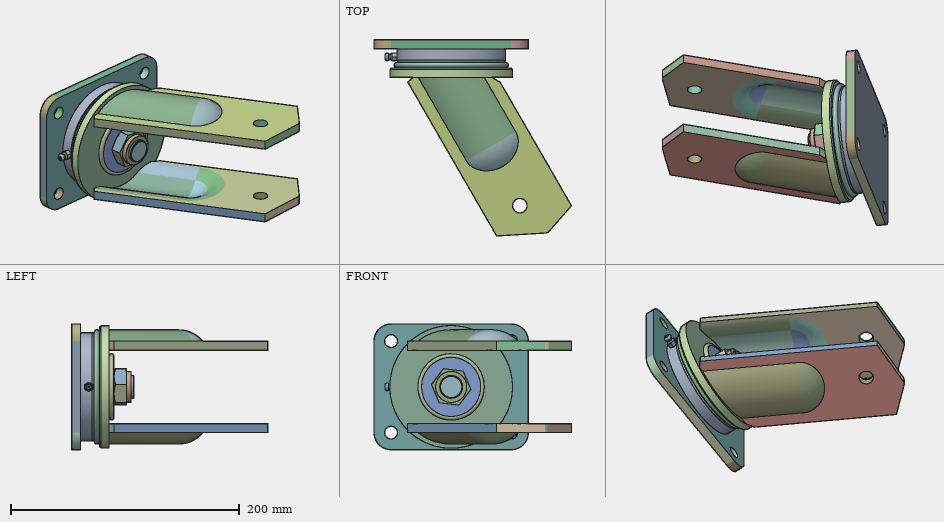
import cadquery as cq
import math


PLATE_LENGTH = 135
PLATE_HEIGHT = 110
PLATE_DEPTH = 8
PLATE_CORNER = 15
BOLT_SPACING_X = 105
BOLT_SPACING_Z = 80
BOLT_HOLE_DIA = 11
HUB_DIA = 95
HUB_DEPTH = 19.8
HUB_CHAMFER_LENGTH = 2
HUB_CHAMFER_WIDTH = 0.7

SEAL_OUTER_DIA = 100
SEAL_INNER_DIA = 85
SEAL_DEPTH = 24.6
DISC_DIA = 107.2
DISC_DEPTH = 32.816
DISC_CHAMFER = 1.2

RIM_DIA = 58
RIM_DEPTH = 37
WEB_DEPTH = 36.7
NUT_FLATS = 30
NUT_HEIGHT = 11.2
NUT_TURN = -7
NUT_CHAMFER_WIDTH = 3.3
NUT_CHAMFER_HEIGHT = 1.7
NUT_COLLAR_DIA = 27.2
NUT_COLLAR_HEIGHT = 4.2
BOLT_DIA = 20
BOLT_TIP_DEPTH = 54.7
BOLT_CHAMFER = 0.7

LEG_ANGLE = 60
LEG_INNER_Z = 32
LEG_THICKNESS = 8
LEG_WIDTH = 70
LEG_LEFT_LENGTH = 140
LEG_RIGHT_LENGTH = 149.8
LEG_PEAK_LENGTH = 160
LEG_PEAK_ACROSS = 5
LEG_PEAK_RADIUS = 5
LEG_LEFT_SHOULDER = -15.3
LEG_RIGHT_SHOULDER = 25.2
LEG_TOP_LEFT_X = -33.4
LEG_TOP_RIGHT_X = 35.6
AXLE_HOLE_DIA = 12.5
AXLE_X = 60
AXLE_Y = -145

BULGE_HEIGHT = 10
BULGE_WIDTH = 50
BULGE_LENGTH = 70
BULGE_END_RADIUS = 25
RECESS_LENGTH = 62.5
RECESS_END_RADIUS = 25
RECESS_EDGE_RADIUS = 25

NIPPLE_DEPTH = 15
NIPPLE_FLATS = 7
NIPPLE_HEX_LENGTH = 4.4
NIPPLE_TIP_X = -58
NIPPLE_TIP_DIA = 4.2
NIPPLE_HEAD_DIA = 6.9
NIPPLE_HEAD_LENGTH = 2.6
NIPPLE_HEAD_ROUNDING = 0.6
NIPPLE_NECK_DIA = 4.4
NIPPLE_TAPER = 0.8
NIPPLE_BORE_DIA = 1.4
NIPPLE_BORE_DEPTH = 2
NIPPLE_OVERRUN = 3

LEG_OUTER_Z = LEG_INNER_Z + LEG_THICKNESS
LEG_OVERRUN = BULGE_LENGTH
BULGE_TOP_Z = LEG_OUTER_Z + BULGE_HEIGHT
BULGE_RADIUS = ((BULGE_WIDTH / 2) ** 2 + BULGE_HEIGHT**2) / (2 * BULGE_HEIGHT)


def at_depth(depth):
    """Workplane across the swivel axis that extrudes along -Y; its local X and Y are X and Z."""
    return cq.Workplane("XZ", origin=(0, -depth, 0))


def turned(profile):
    """Solid turned about the swivel axis from (radius, depth) points."""
    outline = [(radius, -depth) for radius, depth in profile]
    return cq.Workplane("XY").polyline(outline).close().revolve(360, (0, 0), (0, 1))


def make_mounting_plate():
    plate = (
        at_depth(0)
        .rect(PLATE_LENGTH, PLATE_HEIGHT)
        .extrude(PLATE_DEPTH)
        .edges("|Y")
        .fillet(PLATE_CORNER)
    )
    holes = (
        at_depth(0)
        .rect(BOLT_SPACING_X, BOLT_SPACING_Z, forConstruction=True)
        .vertices()
        .circle(BOLT_HOLE_DIA / 2)
        .extrude(PLATE_DEPTH)
    )
    hub_radius = HUB_DIA / 2
    spigot_radius = SEAL_INNER_DIA / 2
    hub = turned([
        (0, 0),
        (spigot_radius, 0),
        (spigot_radius, PLATE_DEPTH),
        (hub_radius, PLATE_DEPTH),
        (hub_radius, HUB_DEPTH - HUB_CHAMFER_LENGTH),
        (hub_radius - HUB_CHAMFER_WIDTH, HUB_DEPTH),
        (spigot_radius, HUB_DEPTH),
        (spigot_radius, SEAL_DEPTH),
        (0, SEAL_DEPTH),
    ])
    return plate.cut(holes).union(hub).cut(make_king_bolt())


def make_seal():
    """Ring around the hub spigot with a fully rounded outer edge."""
    round_radius = (SEAL_DEPTH - HUB_DEPTH) / 2
    outer = SEAL_OUTER_DIA / 2
    inner = SEAL_INNER_DIA / 2
    return (
        cq.Workplane("XY")
        .moveTo(inner, -HUB_DEPTH)
        .lineTo(outer - round_radius, -HUB_DEPTH)
        .tangentArcPoint((outer, -HUB_DEPTH - round_radius), relative=False)
        .tangentArcPoint((outer - round_radius, -SEAL_DEPTH), relative=False)
        .lineTo(inner, -SEAL_DEPTH)
        .close()
        .revolve(360, (0, 0), (0, 1))
    )


def make_domed_bar(radius, end_radius, length, top_z):
    """Round-backed bar along X, curving down at its end about an axis across the leg."""
    axis_z = top_z - end_radius
    centre_z = top_z - radius
    half_width = math.sqrt(radius**2 - (axis_z - centre_z) ** 2)
    section = (
        cq.Workplane("YZ", origin=(length, 0, 0))
        .moveTo(-half_width, axis_z)
        .threePointArc((0, top_z), (half_width, axis_z))
        .close()
    )
    bar = section.extrude(-length - LEG_OVERRUN)
    end = section.toPending().revolve(360, (-half_width, axis_z), (half_width, axis_z))
    return bar.union(end)


def make_leg_strip():
    """Straight strip along X with the hollow bulge pressed out of it, before trimming."""
    strip_length = LEG_OVERRUN + LEG_PEAK_LENGTH
    strip = (
        cq.Workplane("XY", origin=(-LEG_OVERRUN, -LEG_WIDTH / 2, LEG_INNER_Z))
        .box(strip_length, LEG_WIDTH, LEG_THICKNESS, centered=False)
    )
    above_inner_face = (
        cq.Workplane("XY", origin=(-LEG_OVERRUN, -LEG_WIDTH / 2, LEG_INNER_Z))
        .box(strip_length, LEG_WIDTH, LEG_THICKNESS + BULGE_HEIGHT, centered=False)
    )
    full_bulge = make_domed_bar(BULGE_RADIUS, BULGE_END_RADIUS, BULGE_LENGTH, BULGE_TOP_Z)
    bulge = full_bulge.intersect(above_inner_face)
    recess = make_domed_bar(
        BULGE_RADIUS - LEG_THICKNESS,
        RECESS_END_RADIUS,
        RECESS_LENGTH,
        BULGE_TOP_Z - LEG_THICKNESS,
    )
    margin = 1
    inside_strip = cq.selectors.BoxSelector(
        (-LEG_OVERRUN - margin, -LEG_WIDTH / 2 + margin, LEG_INNER_Z - margin),
        (LEG_PEAK_LENGTH - margin, LEG_WIDTH / 2 - margin, LEG_INNER_Z + margin),
        boundingbox=True,
    )
    pressed = strip.union(bulge).cut(recess)
    return pressed.faces("<Z").edges(inside_strip).fillet(RECESS_EDGE_RADIUS)


def place_on_leg(along, across):
    """X and Y of a point given along and across a leg."""
    angle = math.radians(LEG_ANGLE)
    x = along * math.cos(angle) + across * math.sin(angle)
    y = -DISC_DEPTH - along * math.sin(angle) + across * math.cos(angle)
    return x, y


def make_upper_leg():
    half_width = LEG_WIDTH / 2
    peak = place_on_leg(LEG_PEAK_LENGTH, LEG_PEAK_ACROSS)
    outline = [
        (LEG_TOP_LEFT_X, -DISC_DEPTH),
        place_on_leg(LEG_LEFT_SHOULDER, -half_width),
        place_on_leg(LEG_LEFT_LENGTH, -half_width),
        peak,
        place_on_leg(LEG_RIGHT_LENGTH, half_width),
        place_on_leg(LEG_RIGHT_SHOULDER, half_width),
        (LEG_TOP_RIGHT_X, -DISC_DEPTH),
    ]
    trim = (
        cq.Workplane("XY")
        .polyline(outline)
        .close()
        .extrude(BULGE_TOP_Z)
        .edges(cq.selectors.NearestToPointSelector((*peak, BULGE_TOP_Z / 2)))
        .fillet(LEG_PEAK_RADIUS)
    )
    axle_hole = cq.Workplane("XY").center(AXLE_X, AXLE_Y).circle(AXLE_HOLE_DIA / 2).extrude(BULGE_TOP_Z)
    return (
        make_leg_strip()
        .rotate((0, 0, 0), (0, 0, 1), -LEG_ANGLE)
        .translate((0, -DISC_DEPTH, 0))
        .intersect(trim)
        .cut(axle_hole)
    )


def make_fork():
    disc = (
        at_depth(SEAL_DEPTH)
        .circle(DISC_DIA / 2)
        .extrude(DISC_DEPTH - SEAL_DEPTH)
        .faces(">Y")
        .chamfer(DISC_CHAMFER)
    )
    upper_leg = make_upper_leg()
    return disc.union(upper_leg).union(upper_leg.mirror("XY")).cut(make_king_bolt())


def make_rimmed_washer():
    """Washer whose outer rim is a round bead standing slightly above its flat web."""
    bead_radius = (RIM_DEPTH - DISC_DEPTH) / 2
    bead_centre = RIM_DIA / 2 - bead_radius
    web = at_depth(DISC_DEPTH).circle(bead_centre).extrude(WEB_DEPTH - DISC_DEPTH)
    bead = (
        cq.Workplane("XY")
        .center(bead_centre, -DISC_DEPTH - bead_radius)
        .circle(bead_radius)
        .revolve(360, (-bead_centre, 0), (-bead_centre, 1))
    )
    return web.union(bead).cut(make_king_bolt())


def make_nut():
    """Hexagon nut with a chamfered seat and a round locking collar."""
    corner_dia = NUT_FLATS / math.cos(math.pi / 6)
    corner_radius = corner_dia / 2
    hexagon = (
        at_depth(WEB_DEPTH)
        .polygon(6, corner_dia)
        .extrude(NUT_HEIGHT)
        .rotate((0, 0, 0), (0, 1, 0), -NUT_TURN)
    )
    seat_cone = turned([
        (0, WEB_DEPTH),
        (corner_radius - NUT_CHAMFER_WIDTH, WEB_DEPTH),
        (corner_radius, WEB_DEPTH + NUT_CHAMFER_HEIGHT),
        (corner_radius, WEB_DEPTH + NUT_HEIGHT),
        (0, WEB_DEPTH + NUT_HEIGHT),
    ])
    collar = at_depth(WEB_DEPTH + NUT_HEIGHT).circle(NUT_COLLAR_DIA / 2).extrude(NUT_COLLAR_HEIGHT)
    return hexagon.intersect(seat_cone).union(collar).cut(make_king_bolt())


def make_king_bolt():
    """Plain shank seated in the hub, reaching from the back of the plate past the nut."""
    return (
        at_depth(PLATE_DEPTH)
        .circle(BOLT_DIA / 2)
        .extrude(BOLT_TIP_DEPTH - PLATE_DEPTH)
        .faces("<Y")
        .chamfer(BOLT_CHAMFER)
    )


def make_grease_nipple(hub_body):
    """Hexagon base, tapered neck and rounded head, pointing along -X from the hub side."""
    seat_x = -HUB_DIA / 2
    hex_x = seat_x - NIPPLE_HEX_LENGTH
    hexagon = (
        cq.Workplane("YZ", origin=(hex_x, -NIPPLE_DEPTH, 0))
        .transformed(rotate=(0, 0, 90))
        .polygon(6, NIPPLE_FLATS / math.cos(math.pi / 6))
        .extrude(NIPPLE_HEX_LENGTH + NIPPLE_OVERRUN)
        .cut(hub_body)
    )
    bore_radius = NIPPLE_BORE_DIA / 2
    bore_end = NIPPLE_TIP_X + NIPPLE_BORE_DEPTH
    head_radius = NIPPLE_HEAD_DIA / 2
    shoulder_radius = head_radius - NIPPLE_HEAD_ROUNDING
    neck_radius = NIPPLE_NECK_DIA / 2
    head_start = NIPPLE_TIP_X + NIPPLE_TAPER
    head_end = head_start + NIPPLE_HEAD_LENGTH
    head_middle = (head_start + head_end) / 2
    neck_x = head_end + (hex_x - head_end) / 2
    stem = (
        cq.Workplane("XY", origin=(0, -NIPPLE_DEPTH, 0))
        .moveTo(bore_end, 0)
        .lineTo(bore_end, bore_radius)
        .lineTo(NIPPLE_TIP_X, bore_radius)
        .lineTo(NIPPLE_TIP_X, NIPPLE_TIP_DIA / 2)
        .lineTo(head_start, shoulder_radius)
        .threePointArc((head_middle, head_radius), (head_end, shoulder_radius))
        .lineTo(neck_x, neck_radius)
        .lineTo(hex_x, NIPPLE_FLATS / 2)
        .lineTo(hex_x, 0)
        .close()
        .revolve(360, (0, 0), (1, 0))
    )
    return stem.union(hexagon)


mounting_plate = make_mounting_plate()
seal = make_seal()
fork = make_fork()
rimmed_washer = make_rimmed_washer()
nut = make_nut()
king_bolt = make_king_bolt()
grease_nipple = make_grease_nipple(mounting_plate)

result = cq.Compound.makeCompound([
    mounting_plate.val(),
    seal.val(),
    fork.val(),
    rimmed_washer.val(),
    nut.val(),
    king_bolt.val(),
    grease_nipple.val(),
])